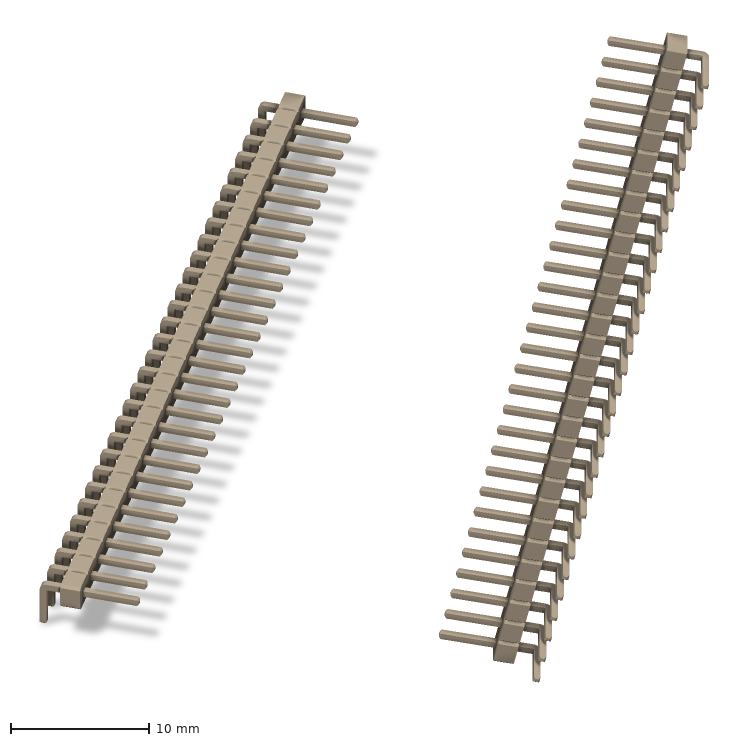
import cadquery as cq


pin_count = 30
pitch = 2.0

housing_depth = 1.5
housing_height = 2.0
corner_bevel = 0.2

pin_size = 0.5
overall_depth = 7.45
overall_height = 4.4
solder_reach = 1.75
bend_radius = 0.5
tip_bevel = 0.125

half_pin = pin_size / 2
housing_left = -housing_depth / 2
housing_top = housing_height / 2
pin_left = housing_left - solder_reach
pin_right = pin_left + overall_depth
pin_bottom = housing_top - overall_height
pin_positions = [(i - (pin_count - 1) / 2) * pitch for i in range(pin_count)]


def make_housing_segment(y):
    """One octagonal housing cell, one pitch long, extruded along X."""
    half_length = pitch / 2
    flat_y = half_length - corner_bevel
    flat_z = housing_top - corner_bevel
    outline = [
        (-flat_y, -housing_top),
        (flat_y, -housing_top),
        (half_length, -flat_z),
        (half_length, flat_z),
        (flat_y, housing_top),
        (-flat_y, housing_top),
        (-half_length, flat_z),
        (-half_length, -flat_z),
    ]
    profile = cq.Workplane("YZ", origin=(housing_left, y, 0)).polyline(outline).close()
    return profile.extrude(housing_depth)


def make_pin():
    """Bent square pin at Y = 0 with bevelled ends."""
    leg_right = pin_left + pin_size
    pin = (
        cq.Workplane("XZ", origin=(0, half_pin, 0))
        .moveTo(pin_right, half_pin)
        .lineTo(pin_left + bend_radius, half_pin)
        .radiusArc((pin_left, half_pin - bend_radius), -bend_radius)
        .lineTo(pin_left, pin_bottom)
        .lineTo(leg_right, pin_bottom)
        .lineTo(leg_right, -half_pin)
        .lineTo(pin_right, -half_pin)
        .close()
        .extrude(pin_size)
    )
    for end_face in (">X", "<Z"):
        pin = pin.faces(end_face).chamfer(tip_bevel)
    return pin


def make_header():
    """All housing cells joined in a row, with one pin through each."""
    segments = [make_housing_segment(y).val() for y in pin_positions]
    pin = make_pin()
    pins = [pin.translate((0, y, 0)).val() for y in pin_positions]
    return cq.Workplane(segments[0].fuse(*segments[1:], *pins).clean())


result = make_header()